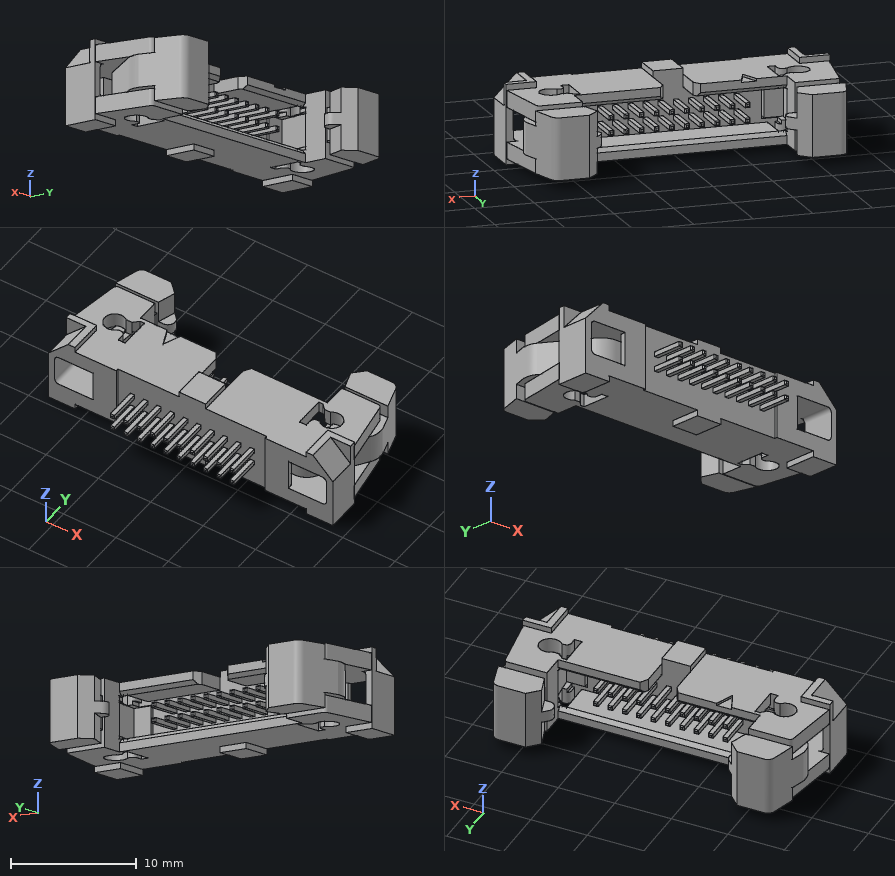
import cadquery as cq


BODY_HALF_LENGTH = 13.59
BODY_HALF_THICKNESS = 2.835
PAD_HEIGHT = 0.5
PAD_TOP_Y = 3.11
CORNER_PAD_LENGTH = 2.55
KEY_HALF_WIDTH = 1.27
SHROUD_TOP_Y = 6.22
TOWER_TOP_Y = 8.27
TOWER_INNER_X = 8.915
TOWER_OUTER_X_AT_TOP = 12.69
TOWER_OUTER_X_AT_PAD = 13.53
TOWER_CORNER_RADIUS = 0.35
SEAT_HALF_LENGTH = 7.1
SEAT_RECESS = 0.25
PAD_CHAMFER_LEG = 1.9
PAD_CHAMFER_LENGTH = 2.54

CAVITY_HALF_LENGTH = 9.19
CAVITY_HALF_WIDTH = 1.76
MOUTH_CHAMFER = 0.34
KEY_FLARE_WIDTH = 0.415
KEY_FLARE_DEPTH = 0.65
MARK_CENTER_X = -5.74
MARK_WIDTH = 1.3
MARK_LENGTH = 1.57
MARK_DEPTH = 0.2

SLOT_HALF_WIDTH = 1.435
WINDOW_OUTER_X = 12.98
WINDOW_INNER_X = 9.33
WINDOW_CORNER_RADIUS = 0.4
FOOT_POCKET_START_Y = 0.46
FOOT_POCKET_INNER_X = 7.85
PIVOT_X = 10.37
PIVOT_Y = 4.69
PIVOT_RADIUS = 0.95
NECK_TOP_Y = 5.42
NECK_SLOPE_START_X = CAVITY_HALF_LENGTH
OPENING_INNER_X = 8.33
OPENING_TOP_Y = SHROUD_TOP_Y - MOUTH_CHAMFER
OPENING_OUTER_X = 8.98
NECK_BOTTOM_Y = 4.08
NECK_CORNER_RADIUS = 0.4

LATCH_HALF_WIDTH = 1.36
HEAD_HALF_WIDTH = 2.6
HOOK_HALF_WIDTH = 0.5
LATCH_TOP_Y = 11.3
HEAD_BOTTOM_Y = 8.745
HEAD_TOP_INNER_X = 9.34
HEAD_TOP_OUTER_X = 12.26
HEAD_CORNER_RADIUS = 0.7
HEAD_INNER_BOTTOM_X = 8.9
HEAD_INNER_TOP_X = 8.38
HOOK_RADIUS = 0.69
STEM_INNER_TOP_X = 9.03
STEM_OUTER_X = 13.4
STEM_FLANK_END_Y = 7.46
KNUCKLE_Y = 6.58
KNUCKLE_RADIUS = 1.52
HEEL_X = 9.85
HEEL_Y = 1.5
HEEL_RADIUS = 1.72
FOOT_END_X = 8.0
FOOT_TOP_Y = 3.2
STEM_INNER_FOOT_X = 9.64
BOSS_HALF_WIDTH = 1.55
BOSS_CORE_RADIUS = 0.65
BOSS_RIB_HALF_WIDTH = 0.48

PINS_PER_ROW = 10
PIN_PITCH = 1.27
PIN_SIZE = 0.4
PIN_TAIL_END_Y = -2.72
PIN_MATING_END_Y = 6.06
PIN_TIP_CHAMFER = 0.1


def block(x_min, x_max, y_min, y_max, half_height):
    """Box between two X and two Y positions, centred on Z = 0."""
    return (
        cq.Workplane("XY")
        .box(x_max - x_min, y_max - y_min, 2 * half_height, centered=False)
        .translate((x_min, y_min, -half_height))
    )


def plate(points, half_height):
    """Polygon in XY extruded equally up and down from Z = 0."""
    return cq.Workplane("XY").polyline(points).close().extrude(half_height, both=True)


def round_corner(solid, x, y, radius):
    """Round the edge parallel to Z that passes nearest to (x, y)."""
    edge = cq.selectors.NearestToPointSelector((x, y, 0))
    return solid.edges("|Z").edges(edge).fillet(radius)


def pivot_cylinder(radius, half_height):
    """Cylinder on the pivot axis, centred on Z = 0."""
    return cq.Workplane("XY").center(PIVOT_X, PIVOT_Y).circle(radius).extrude(half_height, both=True)


def both_ends(solid):
    """The given right-hand shape together with its mirror image at the left."""
    return solid.union(solid.mirror("YZ"))


def make_tower():
    outline = [
        (0, 0),
        (BODY_HALF_LENGTH, 0),
        (BODY_HALF_LENGTH, PAD_TOP_Y),
        (TOWER_OUTER_X_AT_PAD, PAD_TOP_Y),
        (TOWER_OUTER_X_AT_TOP, TOWER_TOP_Y),
        (TOWER_INNER_X, TOWER_TOP_Y),
        (TOWER_INNER_X, SHROUD_TOP_Y),
        (0, SHROUD_TOP_Y),
    ]
    tower = plate(outline, BODY_HALF_THICKNESS)
    return round_corner(tower, TOWER_OUTER_X_AT_TOP, TOWER_TOP_Y, TOWER_CORNER_RADIUS)


def make_corner_pad():
    top_z = BODY_HALF_THICKNESS + PAD_HEIGHT
    return block(BODY_HALF_LENGTH - CORNER_PAD_LENGTH, BODY_HALF_LENGTH, 0, PAD_TOP_Y, top_z)


def make_pad_chamfer():
    """Wedge that bevels the upper outer corner at the rear of a corner pad."""
    top_z = BODY_HALF_THICKNESS + PAD_HEIGHT
    corner = [
        (BODY_HALF_LENGTH, top_z),
        (BODY_HALF_LENGTH - PAD_CHAMFER_LEG, top_z),
        (BODY_HALF_LENGTH, top_z - PAD_CHAMFER_LEG),
    ]
    return cq.Workplane("XZ").polyline(corner).close().extrude(-PAD_CHAMFER_LENGTH)


def make_cavity():
    cavity = block(-CAVITY_HALF_LENGTH, CAVITY_HALF_LENGTH, PAD_TOP_Y, SHROUD_TOP_Y, CAVITY_HALF_WIDTH)
    mouth = (
        cq.Workplane("XZ", origin=(0, SHROUD_TOP_Y, 0))
        .rect(2 * TOWER_INNER_X, 2 * (CAVITY_HALF_WIDTH + MOUTH_CHAMFER))
        .workplane(offset=MOUTH_CHAMFER)
        .rect(2 * TOWER_INNER_X, 2 * CAVITY_HALF_WIDTH)
        .loft(ruled=True)
    )
    return cavity.union(mouth)


def make_key_notch():
    """Polarising notch through the upper shroud wall, flared at its mouth."""
    flare_x = KEY_HALF_WIDTH + KEY_FLARE_WIDTH
    flare_y = SHROUD_TOP_Y - KEY_FLARE_DEPTH
    outline = [
        (-KEY_HALF_WIDTH, PAD_TOP_Y),
        (KEY_HALF_WIDTH, PAD_TOP_Y),
        (KEY_HALF_WIDTH, flare_y),
        (flare_x, SHROUD_TOP_Y),
        (-flare_x, SHROUD_TOP_Y),
        (-KEY_HALF_WIDTH, flare_y),
    ]
    return cq.Workplane("XY").polyline(outline).close().extrude(BODY_HALF_THICKNESS)


def make_pin_one_mark():
    """Shallow triangle in the upper face, pointing away from the mouth."""
    outline = [
        (MARK_CENTER_X - MARK_WIDTH / 2, SHROUD_TOP_Y),
        (MARK_CENTER_X + MARK_WIDTH / 2, SHROUD_TOP_Y),
        (MARK_CENTER_X, SHROUD_TOP_Y - MARK_LENGTH),
    ]
    floor = cq.Workplane("XY", origin=(0, 0, BODY_HALF_THICKNESS - MARK_DEPTH))
    return floor.polyline(outline).close().extrude(MARK_DEPTH)


def make_latch_slot():
    """Space for the latch: tower slot, rear window and pocket for the foot."""
    tower_slot = block(CAVITY_HALF_LENGTH, BODY_HALF_LENGTH, PAD_TOP_Y, TOWER_TOP_Y, SLOT_HALF_WIDTH)
    window = (
        block(WINDOW_INNER_X, WINDOW_OUTER_X, 0, PAD_TOP_Y, SLOT_HALF_WIDTH)
        .edges("|Y and >X")
        .fillet(WINDOW_CORNER_RADIUS)
    )
    foot_pocket = block(
        FOOT_POCKET_INNER_X, WINDOW_INNER_X, FOOT_POCKET_START_Y, PAD_TOP_Y, SLOT_HALF_WIDTH
    )
    return tower_slot.union(window).union(foot_pocket)


def make_pivot_opening():
    """Keyhole through both tower plates that lets the latch snap in."""
    outline = [
        (PIVOT_X, NECK_TOP_Y),
        (NECK_SLOPE_START_X, NECK_TOP_Y),
        (NECK_SLOPE_START_X - (OPENING_TOP_Y - NECK_TOP_Y), OPENING_TOP_Y),
        (OPENING_INNER_X, OPENING_TOP_Y),
        (OPENING_INNER_X, PAD_TOP_Y),
        (OPENING_OUTER_X, PAD_TOP_Y),
        (OPENING_OUTER_X, NECK_BOTTOM_Y),
        (PIVOT_X, NECK_BOTTOM_Y),
    ]
    neck = plate(outline, BODY_HALF_THICKNESS)
    neck = round_corner(neck, OPENING_OUTER_X, NECK_BOTTOM_Y, NECK_CORNER_RADIUS)
    return neck.union(pivot_cylinder(PIVOT_RADIUS, BODY_HALF_THICKNESS))


def make_body():
    key_pad = block(
        -KEY_HALF_WIDTH, KEY_HALF_WIDTH, 0, PAD_TOP_Y, BODY_HALF_THICKNESS + PAD_HEIGHT
    )
    seat = block(
        -SEAT_HALF_LENGTH, SEAT_HALF_LENGTH, 0, SEAT_RECESS, BODY_HALF_THICKNESS + PAD_HEIGHT
    )
    body = both_ends(make_tower().union(make_corner_pad()).cut(make_pad_chamfer()))
    body = body.union(key_pad).cut(seat)
    body = body.cut(make_cavity()).cut(make_key_notch()).cut(make_pin_one_mark())
    return body.cut(both_ends(make_latch_slot())).cut(both_ends(make_pivot_opening()))


def flank_x(y):
    """Outer flank of the latch, a straight slope from the head to the stem."""
    rise = (LATCH_TOP_Y - y) / (LATCH_TOP_Y - STEM_FLANK_END_Y)
    return HEAD_TOP_OUTER_X + rise * (STEM_OUTER_X - HEAD_TOP_OUTER_X)


def make_latch_stem():
    outline = [
        (flank_x(HEAD_BOTTOM_Y), HEAD_BOTTOM_Y),
        (STEM_OUTER_X, STEM_FLANK_END_Y),
        (STEM_OUTER_X, KNUCKLE_Y),
        (HEEL_X, HEEL_Y),
        (FOOT_END_X, HEEL_Y),
        (FOOT_END_X, FOOT_TOP_Y),
        (STEM_INNER_FOOT_X, FOOT_TOP_Y),
        (STEM_INNER_TOP_X, HEAD_BOTTOM_Y),
    ]
    stem = plate(outline, LATCH_HALF_WIDTH)
    stem = round_corner(stem, STEM_OUTER_X, KNUCKLE_Y, KNUCKLE_RADIUS)
    return round_corner(stem, HEEL_X, HEEL_Y, HEEL_RADIUS)


def make_latch_head():
    """Wide thumb grip whose inner corner is cut at 45 degrees."""
    outline = [
        (HEAD_INNER_BOTTOM_X, HEAD_BOTTOM_Y),
        (HEAD_INNER_TOP_X, LATCH_TOP_Y - (HEAD_TOP_INNER_X - HEAD_INNER_TOP_X)),
        (HEAD_TOP_INNER_X, LATCH_TOP_Y),
        (HEAD_TOP_OUTER_X, LATCH_TOP_Y),
        (flank_x(HEAD_BOTTOM_Y), HEAD_BOTTOM_Y),
    ]
    head = plate(outline, HEAD_HALF_WIDTH)
    return round_corner(head, HEAD_TOP_OUTER_X, LATCH_TOP_Y, HEAD_CORNER_RADIUS)


def make_latch_hook():
    """Narrow nose that continues the 45 degree face of the head inward."""
    tip_x = HEAD_TOP_INNER_X - (LATCH_TOP_Y - HEAD_BOTTOM_Y)
    outline = [
        (tip_x, HEAD_BOTTOM_Y),
        (HEAD_TOP_INNER_X, LATCH_TOP_Y),
        (HEAD_TOP_INNER_X, HEAD_BOTTOM_Y),
    ]
    return round_corner(plate(outline, HOOK_HALF_WIDTH), tip_x, HEAD_BOTTOM_Y, HOOK_RADIUS)


def make_pivot_boss():
    """Round core with two ribs whose curved ends bear on the tower holes."""
    ribs = block(
        PIVOT_X - BOSS_RIB_HALF_WIDTH,
        PIVOT_X + BOSS_RIB_HALF_WIDTH,
        PIVOT_Y - PIVOT_RADIUS,
        PIVOT_Y + PIVOT_RADIUS,
        BOSS_HALF_WIDTH,
    ).intersect(pivot_cylinder(PIVOT_RADIUS, BOSS_HALF_WIDTH))
    return ribs.union(pivot_cylinder(BOSS_CORE_RADIUS, BOSS_HALF_WIDTH))


def make_latch():
    return make_latch_stem().union(make_latch_head()).union(make_latch_hook()).union(make_pivot_boss())


def make_pin(x, z):
    length = PIN_MATING_END_Y - PIN_TAIL_END_Y
    return (
        cq.Workplane("XY")
        .box(PIN_SIZE, length, PIN_SIZE)
        .faces("<Y or >Y")
        .chamfer(PIN_TIP_CHAMFER)
        .translate((x, PIN_TAIL_END_Y + length / 2, z))
    )


result = make_body().union(both_ends(make_latch()))
for column in range(PINS_PER_ROW):
    pin_x = (column - (PINS_PER_ROW - 1) / 2) * PIN_PITCH
    for pin_z in (-PIN_PITCH / 2, PIN_PITCH / 2):
        result = result.union(make_pin(pin_x, pin_z))